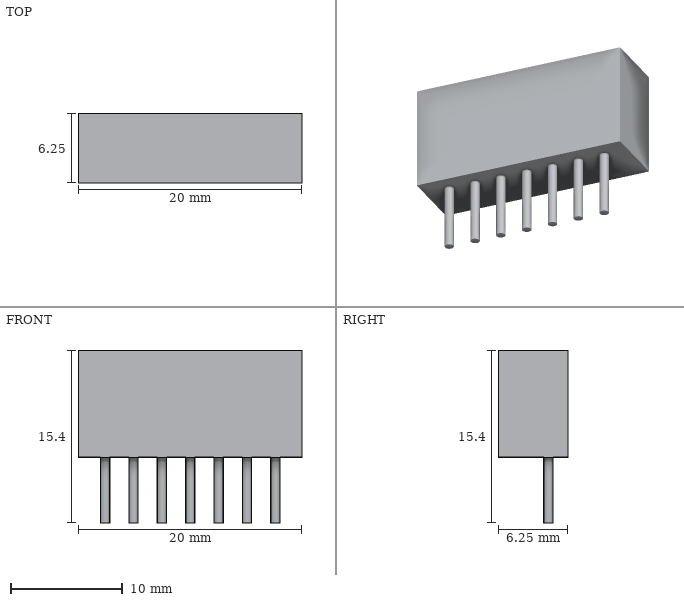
import cadquery as cq

housing_length = 19.99
housing_depth = 6.25
housing_height = 9.55

pin_count = 7
pin_pitch = 2.54
pin_diameter = 0.84
pin_length = 5.88
pin_row_inset = 1.78
pin_row_y = housing_depth / 2 - pin_row_inset


def make_housing():
    """Plain rectangular block standing on Z = 0, centred in X and Y."""
    return cq.Workplane("XY").box(
        housing_length, housing_depth, housing_height, centered=(True, True, False)
    )


def make_pin(x):
    """Round pin hanging down from the underside of the housing."""
    return cq.Workplane("XY").center(x, pin_row_y).circle(pin_diameter / 2).extrude(-pin_length)


housing = make_housing()

pins = []
for index in range(pin_count):
    offset_from_middle = index - (pin_count - 1) / 2
    pins.append(make_pin(offset_from_middle * pin_pitch))

result = cq.Compound.makeCompound([housing.val(), *[pin.val() for pin in pins]])